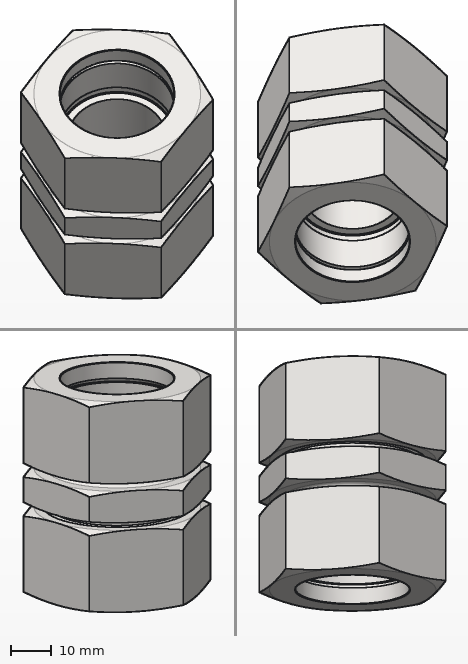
import cadquery as cq
import math

HEX_FLATS = 41.0
HEX_CORNERS = HEX_FLATS / math.cos(math.radians(30))
HEX_CHAMFER_ANGLE = 15.0
BLANK_MARGIN = 0.55

TOTAL_LENGTH = 54.0
END_Z = TOTAL_LENGTH / 2
NUT_LENGTH = 21.05
NUT_BASE_Z = END_Z - NUT_LENGTH
BODY_HEX_HEIGHT = 8.1
BODY_HEX_Z = BODY_HEX_HEIGHT / 2
SOCKET_FLOOR_Z = 10.55
SEAT_TOP_Z = 10.95
CONE_START_Z = 12.65
RING_TOP_Z = 21.8
NUT_CONE_TOP_Z = 22.85

PASSAGE_RADIUS = 24.0 / 2
SEAT_RADIUS = 27.85 / 2
TUBE_RADIUS = 28.0 / 2
CONE_MOUTH_RADIUS = 30.3 / 2
GROOVE_RADIUS = 33.0 / 2
THREAD_RADIUS = 36.0 / 2

NUT_RIM_CHAMFER = 0.15
GROOVE_FILLET = 1.0

CONE_SLOPE = math.tan(math.radians(12))
BODY_END_Z = CONE_START_Z + (CONE_MOUTH_RADIUS - TUBE_RADIUS) / CONE_SLOPE

NUT_CONE_BASE_Z = NUT_CONE_TOP_Z - (THREAD_RADIUS - TUBE_RADIUS)
RING_TOP_RADIUS = TUBE_RADIUS + NUT_CONE_TOP_Z - RING_TOP_Z
RING_EDGE_Z = (NUT_CONE_TOP_Z + CONE_START_Z * CONE_SLOPE) / (1 + CONE_SLOPE)
RING_EDGE_RADIUS = TUBE_RADIUS + NUT_CONE_TOP_Z - RING_EDGE_Z


def revolve_profile(profile):
    """Turn a closed (radius, z) profile about the Z axis."""
    return profile.close().revolve(360, (0, 0, 0), (0, 1, 0))


def chamfered_hex(bottom_z, top_z):
    """Hexagonal prism whose corners are turned down to the flats at both ends."""
    prism = (
        cq.Workplane("XY", origin=(0, 0, bottom_z))
        .polygon(6, HEX_CORNERS)
        .extrude(top_z - bottom_z)
        .rotate((0, 0, 0), (0, 0, 1), 90)
    )
    face_radius = HEX_FLATS / 2
    blank_radius = HEX_CORNERS / 2 + BLANK_MARGIN
    drop = (blank_radius - face_radius) * math.tan(math.radians(HEX_CHAMFER_ANGLE))
    blank = revolve_profile(
        cq.Workplane("XZ")
        .moveTo(0, bottom_z)
        .lineTo(face_radius, bottom_z)
        .lineTo(blank_radius, bottom_z + drop)
        .lineTo(blank_radius, top_z - drop)
        .lineTo(face_radius, top_z)
        .lineTo(0, top_z)
    )
    return prism.intersect(blank)


def mirrored(solid):
    """Copy of a solid on the other side of the middle plane."""
    return solid.mirror("XY")


def make_threaded_end():
    """Upper half of the turned body: groove below, thread above, tube socket inside."""
    fillet_top_z = BODY_HEX_Z + GROOVE_FILLET
    fillet_middle = GROOVE_FILLET * (1 - math.sqrt(0.5))
    return revolve_profile(
        cq.Workplane("XZ")
        .moveTo(PASSAGE_RADIUS, 0)
        .lineTo(GROOVE_RADIUS + GROOVE_FILLET, 0)
        .lineTo(GROOVE_RADIUS + GROOVE_FILLET, BODY_HEX_Z)
        .threePointArc(
            (GROOVE_RADIUS + fillet_middle, BODY_HEX_Z + fillet_middle),
            (GROOVE_RADIUS, fillet_top_z),
        )
        .lineTo(GROOVE_RADIUS, NUT_BASE_Z)
        .lineTo(THREAD_RADIUS, NUT_BASE_Z + THREAD_RADIUS - GROOVE_RADIUS)
        .lineTo(THREAD_RADIUS, BODY_END_Z)
        .lineTo(CONE_MOUTH_RADIUS, BODY_END_Z)
        .lineTo(TUBE_RADIUS, CONE_START_Z)
        .lineTo(TUBE_RADIUS, SEAT_TOP_Z)
        .lineTo(SEAT_RADIUS, SEAT_TOP_Z)
        .lineTo(SEAT_RADIUS, SOCKET_FLOOR_Z)
        .lineTo(PASSAGE_RADIUS, SOCKET_FLOOR_Z)
    )


def make_body():
    """Double-ended fitting body with a hexagon around its middle."""
    passage = (
        cq.Workplane("XY", origin=(0, 0, -BODY_HEX_Z))
        .circle(PASSAGE_RADIUS)
        .extrude(BODY_HEX_HEIGHT)
    )
    hexagon = chamfered_hex(-BODY_HEX_Z, BODY_HEX_Z).cut(passage)
    end = make_threaded_end()
    return hexagon.union(end).union(mirrored(end))


def make_nut():
    """Upper union nut with its thread hole, 45 degree shoulder and tube hole."""
    hole = revolve_profile(
        cq.Workplane("XZ")
        .moveTo(0, NUT_BASE_Z)
        .lineTo(THREAD_RADIUS, NUT_BASE_Z)
        .lineTo(THREAD_RADIUS, NUT_CONE_BASE_Z)
        .lineTo(TUBE_RADIUS, NUT_CONE_TOP_Z)
        .lineTo(TUBE_RADIUS, END_Z - NUT_RIM_CHAMFER)
        .lineTo(TUBE_RADIUS + NUT_RIM_CHAMFER, END_Z)
        .lineTo(0, END_Z)
    )
    return chamfered_hex(NUT_BASE_Z, END_Z).cut(hole)


def make_cutting_ring():
    """Upper cutting ring, wedged between the socket cone and the nut shoulder."""
    return revolve_profile(
        cq.Workplane("XZ")
        .moveTo(TUBE_RADIUS, CONE_START_Z)
        .lineTo(RING_EDGE_RADIUS, RING_EDGE_Z)
        .lineTo(RING_TOP_RADIUS, RING_TOP_Z)
        .lineTo(TUBE_RADIUS, RING_TOP_Z)
    )


solids = [make_body().val()]
for make_part in (make_nut, make_cutting_ring):
    upper = make_part()
    solids.append(upper.val())
    solids.append(mirrored(upper).val())

result = cq.Compound.makeCompound(solids)